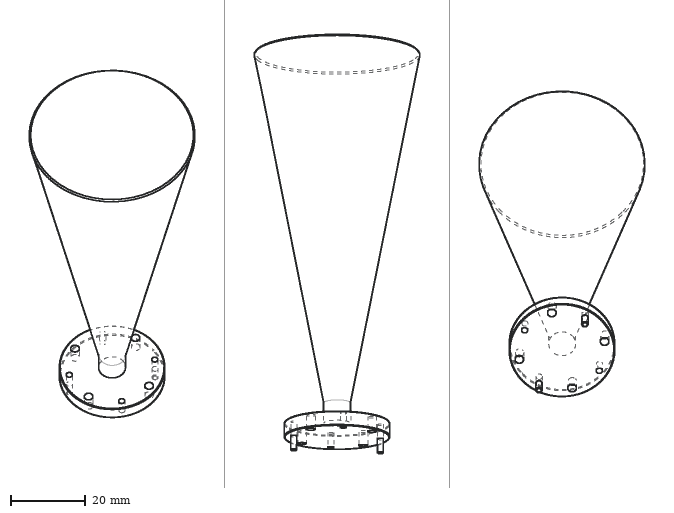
import cadquery as cq
import math

TOTAL_HEIGHT = 110.5
FLANGE_BOTTOM = 4.0
FLANGE_THICKNESS = 4.0
FLANGE_TOP = FLANGE_BOTTOM + FLANGE_THICKNESS
NECK_LENGTH = 5.6
CONE_BOTTOM = FLANGE_TOP + NECK_LENGTH

MOUTH_DIAMETER = 44.8
MOUTH_RADIUS = MOUTH_DIAMETER / 2
MOUTH_CHAMFER = 0.4
NECK_RADIUS = 3.6
FLANGE_RADIUS = 14.3
FLANGE_CHAMFER = 0.2

HOLE_CIRCLE_RADIUS = 11.8
HOLE_COUNT = 4
HOLE_STEP = 360 / HOLE_COUNT
BOLT_HOLE_DIAMETER = 2.3
PIN_DIAMETER = 1.7
PIN_TIP_CHAMFER = 0.2

PIN_HOLE_START = HOLE_STEP / 2
PIN_ANGLES = [PIN_HOLE_START, PIN_HOLE_START + 180]


def flange_holes(start_angle, diameter):
    """Cutters for evenly spaced through holes in the flange."""
    return (
        cq.Workplane("XY", origin=(0, 0, FLANGE_BOTTOM))
        .polarArray(HOLE_CIRCLE_RADIUS, start_angle, 360, HOLE_COUNT)
        .circle(diameter / 2)
        .extrude(FLANGE_THICKNESS)
    )


def make_horn():
    """Flange, neck and cone turned as one body, with the flange drilled."""
    profile = [
        (0, FLANGE_BOTTOM),
        (FLANGE_RADIUS - FLANGE_CHAMFER, FLANGE_BOTTOM),
        (FLANGE_RADIUS, FLANGE_BOTTOM + FLANGE_CHAMFER),
        (FLANGE_RADIUS, FLANGE_TOP - FLANGE_CHAMFER),
        (FLANGE_RADIUS - FLANGE_CHAMFER, FLANGE_TOP),
        (NECK_RADIUS, FLANGE_TOP),
        (NECK_RADIUS, CONE_BOTTOM),
        (MOUTH_RADIUS, TOTAL_HEIGHT - MOUTH_CHAMFER),
        (MOUTH_RADIUS - MOUTH_CHAMFER, TOTAL_HEIGHT),
        (0, TOTAL_HEIGHT),
    ]
    body = cq.Workplane("XZ").polyline(profile).close().revolve(360, (0, 0), (0, 1))
    body = body.cut(flange_holes(0, BOLT_HOLE_DIAMETER))
    return body.cut(flange_holes(PIN_HOLE_START, PIN_DIAMETER))


def make_pin(angle):
    """Dowel pin, flush with the top of the flange and chamfered at its lower tip."""
    x = HOLE_CIRCLE_RADIUS * math.cos(math.radians(angle))
    y = HOLE_CIRCLE_RADIUS * math.sin(math.radians(angle))
    return (
        cq.Workplane("XY", origin=(x, y, 0))
        .circle(PIN_DIAMETER / 2)
        .extrude(FLANGE_TOP)
        .faces("<Z")
        .chamfer(PIN_TIP_CHAMFER)
    )


horn = make_horn()
pins = [make_pin(angle) for angle in PIN_ANGLES]

result = cq.Compound.makeCompound([horn.val(), *[pin.val() for pin in pins]])